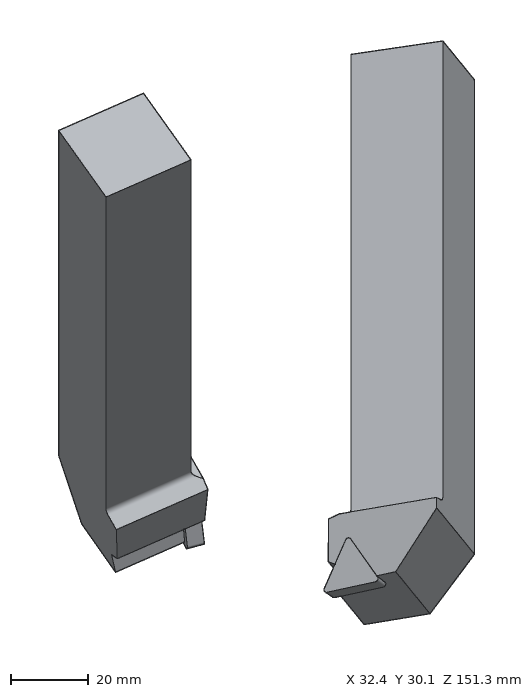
import cadquery as cq
import math

overall_x = 32.37
overall_y = 30.1
overall_z = 151.35

shank_size = 25.0
shoulder_fillet = 1.5
pick_margin = 0.1

shoulder_z = 21.1
shoulder_angle = 15.0
bevel_top_z = 16.9
bevel_bottom = (12.1, 1.89)
seat_corner = (30.0, 1.55)
notch_inner = (27.9, 6.5)
notch_outer = (30.9, 8.2)
shoulder_end_x = 30.4

rake_angle = 5.9
insert_side = 16.5
insert_thickness = 4.76
nose_radius = 0.8
edge_tilt = 1.0

shoulder_slope = math.tan(math.radians(shoulder_angle))
rake_slope = math.tan(math.radians(rake_angle))
rake_normal = cq.Vector(rake_slope, 1, -rake_slope)
back_top_z = shoulder_z - shoulder_slope * (overall_y - shank_size)


def rake_y(x, z):
    """Y of the rake plane, which passes through the highest back corner of the head."""
    return overall_y - rake_slope * x - rake_slope * (back_top_z - z)


def make_shank():
    return (
        cq.Workplane("XY", origin=(0, 0, bevel_top_z))
        .rect(shank_size, shank_size, centered=False)
        .extrude(overall_z - bevel_top_z)
    )


def make_head():
    front_prism = (
        cq.Workplane("XZ")
        .polyline([
            (0, shoulder_z),
            (shank_size, shoulder_z),
            (shoulder_end_x, shoulder_z - shoulder_slope * (shoulder_end_x - shank_size)),
            notch_outer,
            notch_inner,
            seat_corner,
            bevel_bottom,
            (0, bevel_top_z),
        ])
        .close()
        .extrude(-overall_y)
    )
    side_prism = (
        cq.Workplane("YZ")
        .polyline([
            (0, 0),
            (overall_y, 0),
            (overall_y, back_top_z),
            (shank_size, shoulder_z),
            (0, shoulder_z),
        ])
        .close()
        .extrude(overall_x)
    )
    return front_prism.intersect(side_prism)


def make_rake_cutter():
    """Block covering everything behind the rake plane."""
    plane = cq.Plane(origin=(0, overall_y, back_top_z), xDir=(1, -rake_slope, 0), normal=rake_normal)
    block_size = 4 * overall_x
    return cq.Workplane(plane).rect(block_size, block_size).extrude(overall_y)


def make_insert():
    """Triangular insert with rounded corners, its outer face on the rake plane."""
    nose_x = overall_x - nose_radius
    nose_z = nose_radius
    edge_slope = math.tan(math.radians(edge_tilt))
    edge_direction = (1, -rake_slope * (1 + edge_slope), -edge_slope)
    plane = cq.Plane(
        origin=(nose_x, rake_y(nose_x, nose_z), nose_z), xDir=edge_direction, normal=rake_normal
    )
    tip_x = nose_radius * math.sqrt(3)
    tip_y = nose_radius
    return (
        cq.Workplane(plane)
        .polyline([
            (tip_x, tip_y),
            (tip_x - insert_side, tip_y),
            (tip_x - insert_side / 2, tip_y - insert_side * math.sqrt(3) / 2),
        ])
        .close()
        .extrude(-insert_thickness)
        .edges(cq.selectors.ParallelDirSelector(rake_normal))
        .fillet(nose_radius)
    )


def make_holder(insert):
    body = make_shank().union(make_head())
    low_z = shoulder_z - pick_margin
    far_corner = (shank_size + pick_margin, shank_size + pick_margin, shoulder_z + pick_margin)
    back_corner = cq.selectors.BoxSelector((0, shank_size - pick_margin, low_z), far_corner)
    side_corner = cq.selectors.BoxSelector((shank_size - pick_margin, 0, low_z), far_corner)
    body = body.edges(back_corner + side_corner).fillet(shoulder_fillet)
    return body.cut(make_rake_cutter()).cut(insert)


insert = make_insert()
holder = make_holder(insert)

result = cq.Compound.makeCompound([holder.val(), insert.val()])